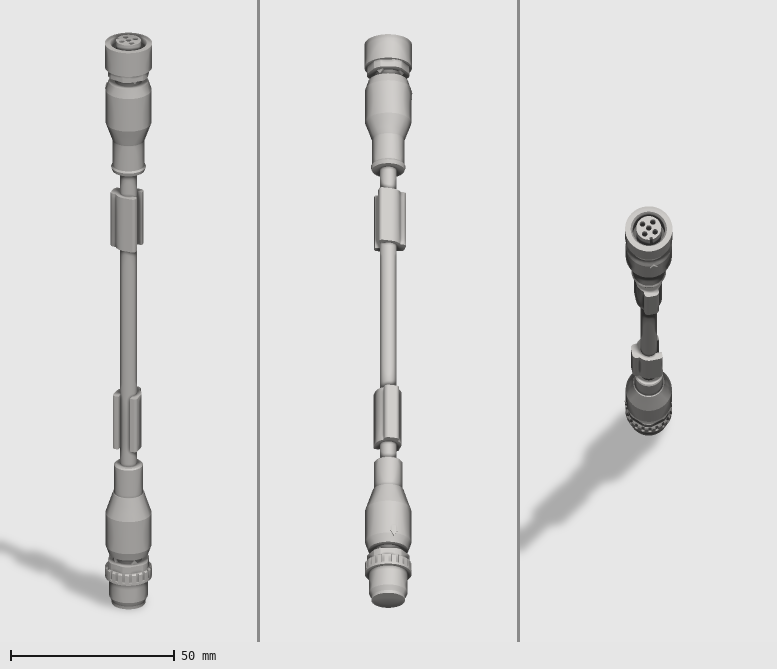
import cadquery as cq
import math

TOTAL_LENGTH = 191.0
ARROW_ANGLE_FEMALE = 225.0
ARROW_ANGLE_MALE = 135.0

CABLE_DIAMETER = 5.2
CABLE_RADIUS = CABLE_DIAMETER / 2
CABLE_INSERTION = 2.0
BODY_RADIUS = 7.0
SHOULDER_RADIUS = 6.1

HEX_ACROSS_FLATS = 12.2
HEX_CORNER_RADIUS = 6.5
NECK_RADIUS = 4.2
TOOTH_REACH = 0.8
TOOTH_WIDTH = 2.3
TOOTH_HEIGHT = 1.3

NUT_RADIUS = 7.3
INSERT_STANDOUT = 1.0
NUT_TOP = TOTAL_LENGTH - INSERT_STANDOUT
NUT_BOTTOM = 182.0
NUT_MOUTH_RADIUS = 5.5
NUT_BORE_RADIUS = 5.0
NUT_MOUTH_DEPTH = 1.1
NUT_FLOOR_THICKNESS = 1.0
NUT_FLOOR = NUT_BOTTOM + NUT_FLOOR_THICKNESS
FEMALE_HEX_BOTTOM = 179.5
FEMALE_BODY_TOP = 177.2
FEMALE_BODY_SHOULDER = 174.4
FEMALE_BODY_BOTTOM = 163.3
FEMALE_BOOT_TOP = 157.4
FEMALE_BOOT_RADIUS = 5.0
FEMALE_BOOT_BOTTOM = 147.0
BEAD_RADIUS = 5.3
BEAD_RISE = 1.1
BEAD_HEIGHT = 1.7

INSERT_RADIUS = 3.8
CONTACT_HOLE_RADIUS = 0.85
CONTACT_CIRCLE_RADIUS = 2.3
CONTACT_HOLE_DEPTH = 5.7
CONTACT_COUNT = 4
KEYWAY_WIDTH = 1.0
KEYWAY_DEPTH = 0.8

MALE_TIP_RADIUS = 5.2
MALE_TIP_LENGTH = 1.0
MALE_TIP_CHAMFER = 1.5
THREAD_RADIUS = 6.0
KNURL_BOTTOM = 9.0
KNURL_RIM_HEIGHT = 0.8
KNURL_TOP = 12.6
KNURL_CHAMFER = 0.4
KNURL_DIAMETER = 14.3
KNURL_RADIUS = KNURL_DIAMETER / 2
KNURL_COUNT = 20
KNURL_GROOVE_WIDTH = 1.0
KNURL_GROOVE_DEPTH = 0.5
MALE_HEX_TOP = 14.9
MALE_BODY_BOTTOM = 17.0
MALE_BODY_SHOULDER = 19.7
MALE_BODY_TOP = 30.5
MALE_CONE_TOP = 37.5
MALE_CONE_RADIUS = 4.8
MALE_BOOT_RADIUS = 4.4
MALE_BOOT_TOP = 47.2
MALE_BOOT_EDGE = 0.4

ARROW_RISE = 0.29
ARROW_OVERHANG = 1.0
ARROW_HEAD_WIDTH = 2.3
ARROW_HEAD_LENGTH = 1.7
ARROW_STEM_WIDTH = 1.1
ARROW_STEM_LENGTH = 1.7

SLEEVE_LENGTH = 18.0
UPPER_SLEEVE_BOTTOM = 121.0
LOWER_SLEEVE_BOTTOM = 53.1
SLEEVE_RADIUS = 4.0
RIDGE_WIDTH = 4.5
RIDGE_REACH = 5.3
RIDGE_CORNER_RADIUS = 1.25
JAW_BACK = -3.6
JAW_CORNER_RADIUS = 1.0
JAW_GAP = 3.8


def cylinder(radius, bottom, top):
    return cq.Workplane("XY").workplane(offset=bottom).circle(radius).extrude(top - bottom)


def block(x_min, x_max, width, bottom, top):
    """Box from x_min to x_max, centred on the X axis in Y."""
    return cq.Workplane("XY").box(
        x_max - x_min, width, top - bottom, centered=(False, True, False)
    ).translate((x_min, 0, bottom))


def turned(outline):
    """Solid of revolution from (radius, height) points; the axis closes it."""
    bottom = outline[0][1]
    top = outline[-1][1]
    points = [(0, bottom)] + outline + [(0, top)]
    return cq.Workplane("XZ").polyline(points).close().revolve(360, (0, 0), (0, 1))


def about_axis(solid, angle):
    return solid.rotate((0, 0, 0), (0, 0, 1), angle)


def hex_collar(bottom, top):
    """Hexagon with flats facing -X and +X and its corners turned round."""
    across_corners = HEX_ACROSS_FLATS / math.cos(math.radians(30))
    hexagon = cq.Workplane("XY").workplane(offset=bottom).polygon(6, across_corners).extrude(top - bottom)
    return about_axis(hexagon, 30).intersect(cylinder(HEX_CORNER_RADIUS, bottom, top))


def neck_teeth(collar_face, direction):
    """Four pointed teeth on the neck; direction is the sign of Z they point to."""
    tooth = (
        cq.Workplane("YZ")
        .polyline([
            (-TOOTH_WIDTH / 2, collar_face),
            (TOOTH_WIDTH / 2, collar_face),
            (0, collar_face + direction * TOOTH_HEIGHT),
        ])
        .close()
        .extrude(NECK_RADIUS + TOOTH_REACH)
    )
    teeth = tooth
    for angle in (90, 180, 270):
        teeth = teeth.union(about_axis(tooth, angle))
    return teeth


def arrow(tip, direction, angle):
    """Raised arrow on the body with its tip at height tip, pointing along direction."""
    head_base = tip - direction * ARROW_HEAD_LENGTH
    tail = head_base - direction * ARROW_STEM_LENGTH
    head_half = ARROW_HEAD_WIDTH / 2
    stem_half = ARROW_STEM_WIDTH / 2
    shape = (
        cq.Workplane("YZ")
        .polyline([
            (0, tip),
            (head_half, head_base),
            (stem_half, head_base),
            (stem_half, tail),
            (-stem_half, tail),
            (-stem_half, head_base),
            (-head_half, head_base),
        ])
        .close()
        .extrude(BODY_RADIUS + ARROW_RISE)
    )
    return about_axis(shape, angle)


def female_connector():
    body = turned([
        (FEMALE_BOOT_RADIUS, FEMALE_BOOT_BOTTOM),
        (BEAD_RADIUS, FEMALE_BOOT_BOTTOM + BEAD_RISE),
        (FEMALE_BOOT_RADIUS, FEMALE_BOOT_BOTTOM + BEAD_HEIGHT),
        (FEMALE_BOOT_RADIUS, FEMALE_BOOT_TOP),
        (BODY_RADIUS, FEMALE_BODY_BOTTOM),
        (BODY_RADIUS, FEMALE_BODY_SHOULDER),
        (SHOULDER_RADIUS, FEMALE_BODY_TOP),
        (NECK_RADIUS, FEMALE_BODY_TOP),
        (NECK_RADIUS, NUT_BOTTOM),
        (NUT_RADIUS, NUT_BOTTOM),
        (NUT_RADIUS, NUT_TOP),
    ])
    bore = turned([
        (NUT_BORE_RADIUS, NUT_FLOOR),
        (NUT_BORE_RADIUS, NUT_TOP - NUT_MOUTH_DEPTH),
        (NUT_MOUTH_RADIUS, NUT_TOP),
    ])
    collar = hex_collar(FEMALE_HEX_BOTTOM, NUT_BOTTOM)
    teeth = neck_teeth(FEMALE_HEX_BOTTOM, -1)
    mark = arrow(FEMALE_BODY_SHOULDER + ARROW_OVERHANG, 1, ARROW_ANGLE_FEMALE)
    return body.cut(bore).union(collar).union(teeth).union(mark).union(socket_insert())


def socket_insert():
    holes = (
        cq.Workplane("XY")
        .workplane(offset=TOTAL_LENGTH - CONTACT_HOLE_DEPTH)
        .polarArray(CONTACT_CIRCLE_RADIUS, 0, 360, CONTACT_COUNT)
        .circle(CONTACT_HOLE_RADIUS)
        .extrude(CONTACT_HOLE_DEPTH)
    )
    centre_hole = cylinder(CONTACT_HOLE_RADIUS, TOTAL_LENGTH - CONTACT_HOLE_DEPTH, TOTAL_LENGTH)
    keyway = block(INSERT_RADIUS - KEYWAY_DEPTH, NUT_BORE_RADIUS, KEYWAY_WIDTH, NUT_FLOOR, TOTAL_LENGTH)
    insert = cylinder(INSERT_RADIUS, NUT_FLOOR, TOTAL_LENGTH)
    return insert.cut(holes).cut(centre_hole).cut(about_axis(keyway, ARROW_ANGLE_FEMALE))


def male_connector():
    body = turned([
        (MALE_TIP_RADIUS, 0),
        (MALE_TIP_RADIUS, MALE_TIP_LENGTH),
        (THREAD_RADIUS, MALE_TIP_LENGTH + MALE_TIP_CHAMFER),
        (THREAD_RADIUS, KNURL_BOTTOM),
        (KNURL_RADIUS, KNURL_BOTTOM),
        (KNURL_RADIUS, KNURL_TOP - KNURL_CHAMFER),
        (KNURL_RADIUS - KNURL_CHAMFER, KNURL_TOP),
        (NECK_RADIUS, KNURL_TOP),
        (NECK_RADIUS, MALE_BODY_BOTTOM),
        (SHOULDER_RADIUS, MALE_BODY_BOTTOM),
        (BODY_RADIUS, MALE_BODY_SHOULDER),
        (BODY_RADIUS, MALE_BODY_TOP),
        (MALE_CONE_RADIUS, MALE_CONE_TOP),
        (MALE_BOOT_RADIUS, MALE_CONE_TOP),
        (MALE_BOOT_RADIUS, MALE_BOOT_TOP - MALE_BOOT_EDGE),
        (MALE_BOOT_RADIUS - MALE_BOOT_EDGE, MALE_BOOT_TOP),
    ])
    groove = block(
        KNURL_RADIUS - KNURL_GROOVE_DEPTH,
        KNURL_RADIUS + KNURL_GROOVE_DEPTH,
        KNURL_GROOVE_WIDTH,
        KNURL_BOTTOM + KNURL_RIM_HEIGHT,
        KNURL_TOP,
    )
    for i in range(KNURL_COUNT):
        body = body.cut(about_axis(groove, i * 360 / KNURL_COUNT))
    collar = hex_collar(KNURL_TOP, MALE_HEX_TOP)
    teeth = neck_teeth(MALE_HEX_TOP, 1)
    mark = arrow(MALE_BODY_SHOULDER - ARROW_OVERHANG, -1, ARROW_ANGLE_MALE)
    return body.union(collar).union(teeth).union(mark)


def marker_sleeve(bottom, angle):
    """Split sleeve with its ridge turned to angle and its open jaws opposite."""
    top = bottom + SLEEVE_LENGTH
    tube = cylinder(SLEEVE_RADIUS, bottom, top)
    ridge = block(0, RIDGE_REACH, RIDGE_WIDTH, bottom, top)
    ridge = ridge.edges("|Z and >X").fillet(RIDGE_CORNER_RADIUS)
    jaws = block(JAW_BACK, 0, 2 * SLEEVE_RADIUS, bottom, top)
    jaws = jaws.edges("|Z and <X").fillet(JAW_CORNER_RADIUS)
    tube_front = tube.cut(block(-SLEEVE_RADIUS, 0, 2 * SLEEVE_RADIUS, bottom, top))
    gap = block(JAW_BACK, 0, JAW_GAP, bottom, top)
    return about_axis(tube_front.union(jaws).union(ridge).cut(gap), angle)


cable = cylinder(CABLE_RADIUS, MALE_BOOT_TOP - CABLE_INSERTION, FEMALE_BOOT_BOTTOM + CABLE_INSERTION)
result = (
    cable
    .union(female_connector())
    .union(male_connector())
    .union(marker_sleeve(UPPER_SLEEVE_BOTTOM, ARROW_ANGLE_FEMALE))
    .union(marker_sleeve(LOWER_SLEEVE_BOTTOM, ARROW_ANGLE_MALE))
)